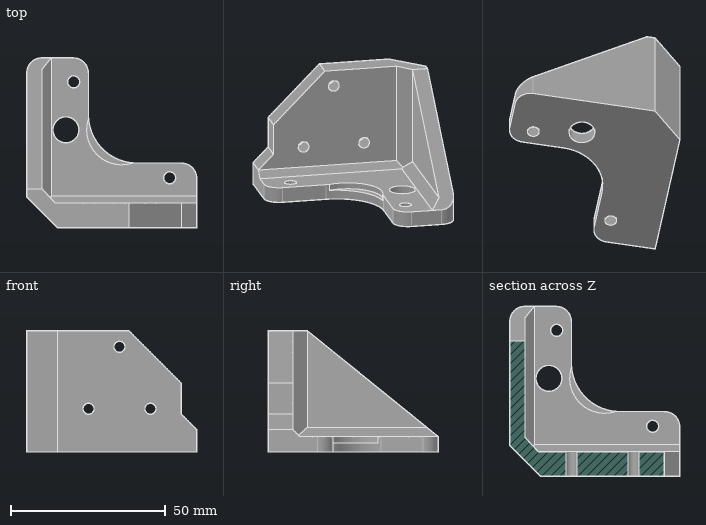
import cadquery as cq

length_x = 55.0
length_y = 55.0
height = 39.25
plate_thickness = 5.0

left_arm_width = 20.0
front_arm_width = 21.0
arm_corner_radius = 5.0
inner_corner_radius = 15.5

motor_x = 30.7
motor_y = 31.7
motor_hole_spacing = 31.0
motor_hole_diameter = 3.8
pilot_diameter = 22.6
pilot_depth = 2.0
rod_hole_diameter = 8.3
rod_hole_offset = 18.0

left_wall_thickness = 5.0
front_wall_thickness = 8.0
outer_corner_bevel = 10.0
slope_start_y = 12.65
inner_bevel_end_x = 9.3

left_strip = 3.0
front_strip = 2.25

upper_end_x = 50.0
upper_bevel = 17.0
lower_end_height = plate_thickness + front_strip
lower_bevel = length_x - upper_end_x

wall_hole_diameter = 3.5
wall_hole_points = [(20.0, 14.0), (40.0, 14.0), (30.0, 34.0)]


def make_plate():
    """L-shaped plate with a rounded inner corner."""
    outline = (
        cq.Workplane("XY")
        .polyline([
            (0, 0),
            (length_x, 0),
            (length_x, front_arm_width),
            (left_arm_width, front_arm_width),
            (left_arm_width, length_y),
            (0, length_y),
        ])
        .close()
    )
    plate = outline.extrude(plate_thickness)
    inner_edge = cq.selectors.NearestToPointSelector(
        (left_arm_width, front_arm_width, plate_thickness / 2)
    )
    return plate.edges(inner_edge).fillet(inner_corner_radius)


def make_left_wall():
    """Wall along X = 0, with its reinforcing strip, sloping down to the plate at the far end."""
    section = (
        cq.Workplane("XZ")
        .polyline([
            (0, 0),
            (left_wall_thickness + left_strip, 0),
            (left_wall_thickness + left_strip, plate_thickness),
            (left_wall_thickness, plate_thickness + left_strip),
            (left_wall_thickness, height),
            (0, height),
        ])
        .close()
        .extrude(-length_y)
    )
    side_profile = (
        cq.Workplane("YZ")
        .polyline([
            (0, 0),
            (length_y, 0),
            (length_y, plate_thickness),
            (slope_start_y, height),
            (0, height),
        ])
        .close()
        .extrude(length_x)
    )
    return section.intersect(side_profile)


def make_front_wall():
    """Wall along Y = 0, with its reinforcing strip, stepped and bevelled at the +X end."""
    strip_end_y = front_wall_thickness + front_strip
    section = (
        cq.Workplane("YZ")
        .polyline([
            (0, 0),
            (strip_end_y, 0),
            (strip_end_y, plate_thickness),
            (front_wall_thickness, plate_thickness + front_strip),
            (front_wall_thickness, height),
            (0, height),
        ])
        .close()
        .extrude(length_x)
    )
    face_profile = (
        cq.Workplane("XZ")
        .polyline([
            (0, 0),
            (length_x, 0),
            (length_x, lower_end_height),
            (upper_end_x, lower_end_height + lower_bevel),
            (upper_end_x, height - upper_bevel),
            (upper_end_x - upper_bevel, height),
            (0, height),
        ])
        .close()
        .extrude(-length_y)
    )
    return section.intersect(face_profile)


def make_corner_fill():
    """Prism that bevels the inside corner between the two walls."""
    return (
        cq.Workplane("XY")
        .polyline([
            (0, 0),
            (inner_bevel_end_x, 0),
            (inner_bevel_end_x, front_wall_thickness),
            (left_wall_thickness, slope_start_y),
            (0, slope_start_y),
        ])
        .close()
        .extrude(height)
    )


def shape_outer_corners(body):
    """Bevel the outer wall corner and round the free ends of both arms."""
    outer_edge = cq.selectors.NearestToPointSelector((0, 0, height / 2))
    body = body.edges(outer_edge).chamfer(outer_corner_bevel)
    for x, y in [(0, length_y), (left_arm_width, length_y), (length_x, front_arm_width)]:
        corner = cq.selectors.NearestToPointSelector((x, y, plate_thickness / 2))
        body = body.edges(corner).fillet(arm_corner_radius)
    return body


def cut_motor_interface(body):
    """Drill two motor screw holes and the rod hole, and sink the motor pilot recess."""
    half_spacing = motor_hole_spacing / 2
    screw_points = [
        (motor_x - half_spacing, motor_y + half_spacing),
        (motor_x + half_spacing, motor_y - half_spacing),
    ]
    screw_holes = (
        cq.Workplane("XY").pushPoints(screw_points).circle(motor_hole_diameter / 2).extrude(plate_thickness)
    )
    rod_hole = (
        cq.Workplane("XY")
        .center(motor_x - rod_hole_offset, motor_y)
        .circle(rod_hole_diameter / 2)
        .extrude(plate_thickness)
    )
    pilot = (
        cq.Workplane("XY", origin=(motor_x, motor_y, plate_thickness - pilot_depth))
        .circle(pilot_diameter / 2)
        .extrude(pilot_depth)
    )
    return body.cut(screw_holes).cut(rod_hole).cut(pilot)


def cut_wall_holes(body):
    """Drill the mounting holes through the front wall."""
    holes = (
        cq.Workplane("XZ")
        .pushPoints(wall_hole_points)
        .circle(wall_hole_diameter / 2)
        .extrude(-front_wall_thickness)
    )
    return body.cut(holes)


body = make_plate().union(make_left_wall()).union(make_front_wall()).union(make_corner_fill())
body = shape_outer_corners(body)
body = cut_motor_interface(body)
result = cut_wall_holes(body)